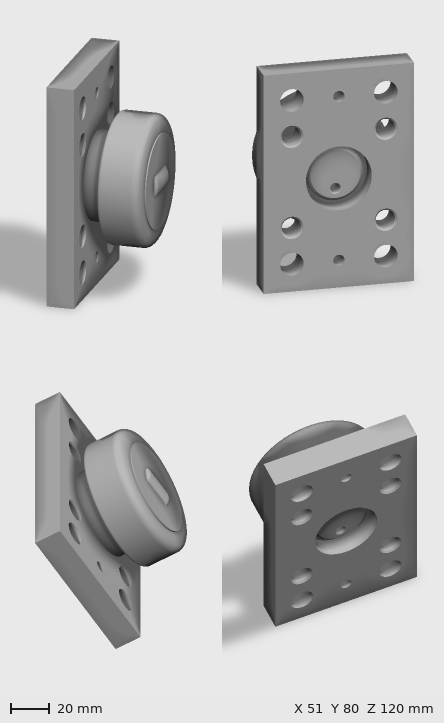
import cadquery as cq
import math

plate_height = 120.0
plate_width = plate_height * 2 / 3
plate_thickness = plate_height / 8

column_offset = plate_thickness * 5 / 3
outer_row_offset = plate_thickness * 3
inner_row_offset = column_offset
mounting_hole_diameter = 12.5
threaded_hole_diameter = 10.2
threaded_hole_mouth_diameter = 12.2
dowel_hole_diameter = 6.0

pocket_diameter = 35.0
pocket_depth = 10.0
pin_end_diameter = 30.2
pin_end_height = 2.9
pin_end_chamfer = 1.8
grease_hole_offset = 8.0
grease_hole_mouth_diameter = 6.0
grease_hole_diameter = 5.0
grease_hole_depth = 10.0
drill_point_angle = 118.0

hub_diameter = 48.0
collar_diameter = 50.6
collar_start = 23.9
roller_start = 25.5
roller_end = 48.5
roller_diameter = 70.2
back_edge_radius = 1.7
front_edge_start = 43.7
front_edge_radius = 4.2
front_crown_angle = 25.0
end_cap_face = 49.2

overall_depth = 51.0
side_roller_radius = 10.9
side_roller_length = 22.8
side_roller_edge_radius = 3.0


def x_cylinder(diameter, start, end):
    """Cylinder about the X axis between two X positions."""
    return cq.Workplane("YZ", origin=(start, 0, 0)).circle(diameter / 2).extrude(end - start)


def x_cone(start_diameter, end_diameter, start, end):
    """Cone or cone frustum about the X axis."""
    profile = [
        (start, 0),
        (start, start_diameter / 2),
        (end, end_diameter / 2),
    ]
    if end_diameter > 0:
        profile.append((end, 0))
    return cq.Workplane("XY").polyline(profile).close().revolve(360, (0, 0, 0), (1, 0, 0))


def make_plate():
    plate = cq.Workplane("XY").box(
        plate_thickness, plate_width, plate_height, centered=(False, True, True)
    )
    mounting_hole = x_cylinder(mounting_hole_diameter, 0, plate_thickness)
    dowel_hole = x_cylinder(dowel_hole_diameter, 0, plate_thickness)
    countersink_depth = (threaded_hole_mouth_diameter - threaded_hole_diameter) / 2
    threaded_hole = (
        x_cylinder(threaded_hole_diameter, 0, plate_thickness)
        .union(x_cone(threaded_hole_mouth_diameter, threaded_hole_diameter, 0, countersink_depth))
        .union(
            x_cone(
                threaded_hole_diameter,
                threaded_hole_mouth_diameter,
                plate_thickness - countersink_depth,
                plate_thickness,
            )
        )
    )
    for row_side in (-1, 1):
        plate = plate.cut(dowel_hole.translate((0, 0, row_side * outer_row_offset)))
        for column_side in (-1, 1):
            y = column_side * column_offset
            plate = plate.cut(mounting_hole.translate((0, y, row_side * outer_row_offset)))
            plate = plate.cut(threaded_hole.translate((0, y, row_side * inner_row_offset)))
    return plate


def make_main_roller():
    """Roller with a rounded back edge and two tangent arcs on the front edge."""
    radius = roller_diameter / 2
    crown_angle = math.radians(front_crown_angle)
    edge_sweep = math.pi / 2 - crown_angle
    arc_centre_radius = radius - front_edge_radius

    def front_arc_point(angle):
        return (
            front_edge_start + front_edge_radius * math.sin(angle),
            arc_centre_radius + front_edge_radius * math.cos(angle),
        )

    crown_start = front_arc_point(edge_sweep)
    crown_radius = (roller_end - crown_start[0]) / (1 - math.cos(crown_angle))
    crown_centre_radius = crown_start[1] - crown_radius * math.sin(crown_angle)
    crown_middle = (
        roller_end - crown_radius * (1 - math.cos(crown_angle / 2)),
        crown_centre_radius + crown_radius * math.sin(crown_angle / 2),
    )
    back_arc_inset = back_edge_radius * (1 - math.sqrt(0.5))
    return (
        cq.Workplane("XY")
        .moveTo(roller_start, 0)
        .lineTo(roller_start, radius - back_edge_radius)
        .threePointArc(
            (roller_start + back_arc_inset, radius - back_arc_inset),
            (roller_start + back_edge_radius, radius),
        )
        .lineTo(front_edge_start, radius)
        .threePointArc(front_arc_point(edge_sweep / 2), crown_start)
        .threePointArc(crown_middle, (roller_end, crown_centre_radius))
        .lineTo(roller_end, 0)
        .close()
        .revolve(360, (0, 0, 0), (1, 0, 0))
    )


def make_side_roller():
    axis_x = overall_depth - side_roller_radius
    return (
        cq.Workplane("XZ")
        .circle(side_roller_radius)
        .extrude(side_roller_length / 2, both=True)
        .edges("%CIRCLE")
        .fillet(side_roller_edge_radius)
        .translate((axis_x, 0, 0))
    )


def make_pin_end():
    face_x = pocket_depth - pin_end_height
    return x_cylinder(pin_end_diameter, face_x, pocket_depth).faces("<X").chamfer(pin_end_chamfer)


def make_grease_hole():
    """Blind hole with a countersunk mouth and a drill-point bottom."""
    mouth_x = pocket_depth - pin_end_height
    bottom_x = mouth_x + grease_hole_depth
    countersink_depth = (grease_hole_mouth_diameter - grease_hole_diameter) / 2
    point_length = grease_hole_diameter / 2 / math.tan(math.radians(drill_point_angle / 2))
    return (
        x_cylinder(grease_hole_diameter, mouth_x, bottom_x)
        .union(
            x_cone(
                grease_hole_mouth_diameter, grease_hole_diameter, mouth_x, mouth_x + countersink_depth
            )
        )
        .union(x_cone(grease_hole_diameter, 0, bottom_x, bottom_x + point_length))
        .translate((0, 0, -grease_hole_offset))
    )


result = (
    make_plate()
    .cut(x_cylinder(pocket_diameter, 0, pocket_depth))
    .union(x_cylinder(hub_diameter, plate_thickness, collar_start))
    .union(x_cylinder(collar_diameter, collar_start, end_cap_face))
    .union(make_main_roller())
    .union(make_side_roller())
    .union(make_pin_end())
    .cut(make_grease_hole())
)